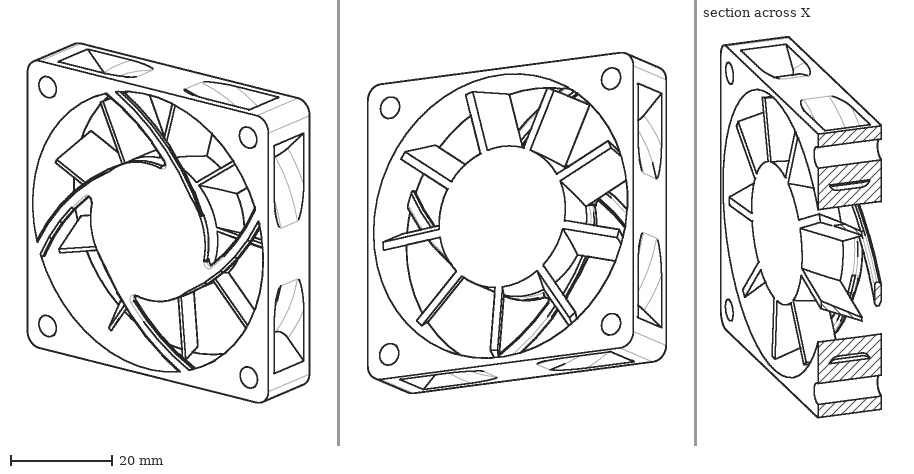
import cadquery as cq
import math

frame_size = 60.0
frame_depth = 13.4
corner_radius = 3.0
bore_radius = 28.7
screw_hole_radius = 2.15
screw_hole_offset = 24.95
odd_hole_offset = 25.15

duct_radius = 30.6
flange_thickness = 1.9
pocket_fillet = 2.1
corner_strut_width = 8.75

spoke_count = 4
plate_radius = 14.3
plate_thickness = 1.5
spoke_outer_radius = 46.2
spoke_inner_radius = 43.55
spoke_tangent_angle = 24.1
spoke_end_angle = 66.0
edge_round = 0.5
slot_end_radius = 0.6

rotor_back_setback = 0.65
blade_count = 9
hub_radius = 14.3
hub_setback = 4.1
blade_tip_radius = 27.0
blade_first_angle = -5.0
blade_front_width = 0.8
blade_back_width = 1.7
blade_lead = 3.95
blade_sweep = 3.6

front_y = -frame_depth / 2
back_y = frame_depth / 2
plate_back_y = front_y + plate_thickness
hub_face_y = front_y + hub_setback
rotor_back_y = back_y - rotor_back_setback
Y_AXIS = (0, 1, 0)


def polar(radius, angle, center=(0, 0)):
    """Point in the XZ plane at a distance and angle (degrees) from a center."""
    turn = math.radians(angle)
    return (center[0] + radius * math.cos(turn), center[1] + radius * math.sin(turn))


def plane_at(y):
    """XZ workplane at a given Y; extruding goes forward, towards -Y."""
    return cq.Workplane("XZ", origin=(0, y, 0))


def cylinder(radius, y_start, y_end):
    return plane_at(y_end).circle(radius).extrude(y_end - y_start)


def turned_copies(solid, count):
    """The solid repeated evenly about the fan axis."""
    return [solid.rotate((0, 0, 0), Y_AXIS, 360 / count * i) for i in range(count)]


spoke_center = polar(spoke_outer_radius - plate_radius, spoke_tangent_angle + 180)
slot_end_distance = plate_radius + slot_end_radius + edge_round
slot_end_reach = spoke_inner_radius - slot_end_radius
center_distance = spoke_outer_radius - plate_radius
slot_end_angle = spoke_tangent_angle + 180 - math.degrees(math.acos(
    (slot_end_distance**2 + center_distance**2 - slot_end_reach**2)
    / (2 * slot_end_distance * center_distance)
))
slot_end = polar(slot_end_distance, slot_end_angle)
slot_end_direction = math.degrees(
    math.atan2(slot_end[1] - spoke_center[1], slot_end[0] - spoke_center[0])
)


def edge_round_cutters(center, wall_radius, side, start_angle, sweep):
    """Ring sectors that round the front and back edges of a curved wall of the motor plate.

    side is +1 where the material lies outside the wall radius and -1 where it lies inside.
    """
    axis_start = (center[0], 0, center[1])
    axis_end = (center[0], -1, center[1])
    arc_inset = edge_round * (1 - math.sqrt(0.5))
    cutters = []
    for face_y, inward in ((front_y, 1), (plate_back_y, -1)):
        profile = (
            cq.Workplane("XY", origin=(center[0], face_y, center[1]))
            .moveTo(wall_radius + side * edge_round, 0)
            .threePointArc(
                (wall_radius + side * arc_inset, inward * arc_inset),
                (wall_radius, inward * edge_round),
            )
            .lineTo(wall_radius, 0)
            .close()
        )
        ring = profile.revolve(sweep, (0, 0, 0), (0, -1, 0))
        cutters.append(ring.rotate(axis_start, axis_end, start_angle))
    return cutters


def spoke():
    """Curved spoke with rounded edges and a round-ended notch beside the motor plate."""
    middle_angle = (spoke_tangent_angle + spoke_end_angle) / 2
    inner_middle_angle = (slot_end_direction + spoke_end_angle) / 2
    notch_stop_angle = slot_end_angle + 180
    notch_middle_angle = (slot_end_direction + notch_stop_angle - 360) / 2
    body = (
        plane_at(plate_back_y)
        .moveTo(*polar(spoke_outer_radius, spoke_tangent_angle, spoke_center))
        .threePointArc(
            polar(spoke_outer_radius, middle_angle, spoke_center),
            polar(spoke_outer_radius, spoke_end_angle, spoke_center),
        )
        .lineTo(*polar(spoke_inner_radius, spoke_end_angle, spoke_center))
        .threePointArc(
            polar(spoke_inner_radius, inner_middle_angle, spoke_center),
            polar(spoke_inner_radius, slot_end_direction, spoke_center),
        )
        .threePointArc(
            polar(slot_end_radius, notch_middle_angle, slot_end),
            polar(slot_end_radius, notch_stop_angle, slot_end),
        )
        .lineTo(*polar(plate_radius / 2, slot_end_angle))
        .close()
        .extrude(plate_thickness)
    )
    outer_sweep = spoke_end_angle - spoke_tangent_angle
    inner_sweep = spoke_end_angle - slot_end_direction
    cutters = [
        *edge_round_cutters(spoke_center, spoke_outer_radius, -1, spoke_tangent_angle, outer_sweep),
        *edge_round_cutters(spoke_center, spoke_inner_radius, 1, slot_end_direction, inner_sweep),
        *edge_round_cutters(slot_end, slot_end_radius, 1, 0, 360),
    ]
    for cutter in cutters:
        body = body.cut(cutter)
    return body


def motor_plate():
    """Round plate with a sharp front rim and a rounded back rim."""
    return cylinder(plate_radius, front_y, plate_back_y).faces(">Y").edges().fillet(edge_round)


def duct():
    """Outside of the duct, flared with a fillet into the front and back flanges."""
    half_gap = frame_depth / 2 - flange_thickness
    flare_radius = duct_radius + pocket_fillet
    straight = half_gap - pocket_fillet
    middle_radius = flare_radius - pocket_fillet * math.sqrt(0.5)
    middle_y = straight + pocket_fillet * math.sqrt(0.5)
    return (
        cq.Workplane("XY")
        .moveTo(0, -half_gap)
        .lineTo(flare_radius, -half_gap)
        .threePointArc((middle_radius, -middle_y), (duct_radius, -straight))
        .lineTo(duct_radius, straight)
        .threePointArc((middle_radius, middle_y), (flare_radius, half_gap))
        .lineTo(0, half_gap)
        .close()
        .revolve(360, (0, 0, 0), (0, 1, 0))
    )


def side_pockets():
    """Openings in the four sides, between the flanges, the duct and the diagonal corner struts."""
    pocket_depth = frame_depth - 2 * flange_thickness
    pockets = cq.Workplane("XY").box(frame_size, pocket_depth, frame_size).cut(duct())
    for angle in (45, 135):
        strut = cq.Workplane("XY").box(2 * frame_size, frame_depth, corner_strut_width)
        pockets = pockets.cut(strut.rotate((0, 0, 0), Y_AXIS, angle))
    return pockets


def screw_holes():
    near = screw_hole_offset
    far = odd_hole_offset
    centers = [(-near, near), (near, near), (-near, -near), (far, -far)]
    return plane_at(back_y).pushPoints(centers).circle(screw_hole_radius).extrude(frame_depth)


def make_frame():
    frame = cq.Workplane("XY").box(frame_size, frame_depth, frame_size)
    frame = frame.edges("|Y").fillet(corner_radius)
    frame = frame.cut(side_pockets())
    frame = frame.cut(cylinder(bore_radius, front_y, back_y))
    frame = frame.cut(screw_holes())
    for copy in turned_copies(spoke(), spoke_count):
        frame = frame.union(copy)
    return frame.union(motor_plate())


def blade():
    """Slanted flat blade with its front and back edges square to the fan axis."""
    root = hub_radius / 2
    leading = blade_lead
    trailing = blade_lead - blade_sweep
    return (
        cq.Workplane("YZ", origin=(root, 0, 0))
        .polyline([
            (hub_face_y, leading),
            (hub_face_y, leading - blade_front_width),
            (rotor_back_y, trailing - blade_back_width),
            (rotor_back_y, trailing),
        ])
        .close()
        .extrude(blade_tip_radius - root)
        .rotate((0, 0, 0), Y_AXIS, -blade_first_angle)
    )


def make_rotor():
    rotor = cylinder(hub_radius, hub_face_y, rotor_back_y)
    for copy in turned_copies(blade(), blade_count):
        rotor = rotor.union(copy)
    return rotor


frame = make_frame()
rotor = make_rotor()
result = cq.Compound.makeCompound([frame.val(), rotor.val()])